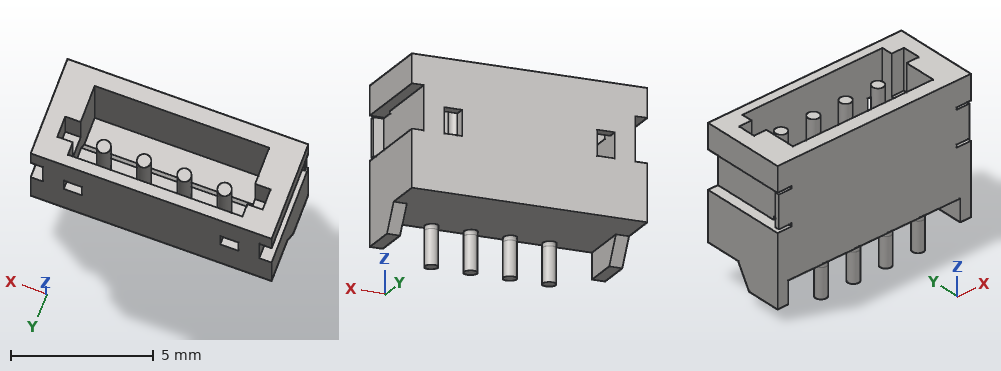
import cadquery as cq
import math

length = 9.0
depth = 3.7
height = 6.5
front = -depth / 2
back = depth / 2
half_length = length / 2

underside = 1.5
leg_bottom = 0.5
leg_width = 0.5
leg_slope_top_y = 0.25
leg_slope_bottom_y = -0.33

cavity_length = 6.52
cavity_back = 1.44
cavity_front = -1.25
rear_floor = 3.26
step_back = 0.1
step_front = -0.21
step_angle = 30.0
front_floor = rear_floor - (step_back - step_front) / math.tan(math.radians(step_angle))
keyway_span = 7.67
keyway_back = 0.95
keyway_front = 0.16
keyway_floor = height - 1.79

band_top = height - 1.12
band_bottom = height - 2.8
band_recess = 0.46
lip_thickness = 0.18
lip_inset = 0.06
slit_length = 0.67
slit_depth = 0.73
upper_slit_height = 0.1
lower_slit_height = 0.13

window_inner_x = 2.58
window_top = height - 1.83
window_bottom = band_bottom

pin_count = 4
pin_pitch = 1.5
pin_radius = 0.25
pin_top = 5.84
pin_upper_y = 0.53
pin_lower_y = front + pin_radius
bend_start = 1.35
bend_radius = 0.5


def block(x0, x1, y0, y1, z0, z1):
    """Axis-aligned box between two opposite corners."""
    return cq.Workplane("XY").box(x1 - x0, y1 - y0, z1 - z0, centered=False).translate((x0, y0, z0))


def both_ends(cutter):
    """A feature at the -X end together with its mirror image at the +X end."""
    return cutter.union(cutter.mirror("YZ"))


def extrude_side_profile(points, width):
    """Extrude a (Y, Z) outline symmetrically about X = 0."""
    return cq.Workplane("YZ").polyline(points).close().extrude(width / 2, both=True)


def make_housing():
    side_profile = [
        (front, leg_bottom),
        (leg_slope_bottom_y, leg_bottom),
        (leg_slope_top_y, underside),
        (back, underside),
        (back, height),
        (front, height),
    ]
    leg_inner_x = half_length - leg_width
    between_legs = block(-leg_inner_x, leg_inner_x, front, back, 0, underside)
    return extrude_side_profile(side_profile, length).cut(between_legs)


def make_cavity():
    cavity_profile = [
        (cavity_front, front_floor),
        (step_front, front_floor),
        (step_back, rear_floor),
        (cavity_back, rear_floor),
        (cavity_back, height),
        (cavity_front, height),
    ]
    keyways = block(-keyway_span / 2, keyway_span / 2, keyway_front, keyway_back, keyway_floor, height)
    return extrude_side_profile(cavity_profile, cavity_length).union(keyways)


def make_end_recess():
    """Band recess at the -X end, with the slits that free its front lip."""
    end = -half_length
    lip_back = front + lip_thickness
    slit_back = front + slit_depth
    recess = block(end, end + band_recess, lip_back, back, band_bottom, band_top)
    lip_trim = block(end, end + lip_inset, front, lip_back, band_bottom, band_top)
    upper_slit = block(end, end + slit_length, front, slit_back, band_top - upper_slit_height, band_top)
    lower_slit = block(end, end + slit_length, front, slit_back, band_bottom, band_bottom + lower_slit_height)
    return recess.union(lip_trim).union(upper_slit).union(lower_slit)


def make_window():
    return block(-cavity_length / 2, -window_inner_x, cavity_back, back, window_bottom, window_top)


def make_pin(x):
    """Lower tail bent back under the cavity floor, then an upright contact."""
    run_z = bend_start + bend_radius
    arc_offset = bend_radius * (1 - math.sqrt(0.5))
    path = (
        cq.Workplane("YZ", origin=(x, 0, 0))
        .moveTo(pin_lower_y, 0)
        .lineTo(pin_lower_y, bend_start)
        .threePointArc(
            (pin_lower_y + arc_offset, run_z - arc_offset),
            (pin_lower_y + bend_radius, run_z),
        )
        .lineTo(pin_upper_y, run_z)
    )
    tail = cq.Workplane("XY", origin=(x, pin_lower_y, 0)).circle(pin_radius).sweep(path)
    contact = cq.Workplane("XY", origin=(x, pin_upper_y, run_z)).circle(pin_radius).extrude(pin_top - run_z)
    return tail.union(contact)


result = make_housing().cut(make_cavity())
result = result.cut(both_ends(make_end_recess()))
result = result.cut(both_ends(make_window()))
for index in range(pin_count):
    result = result.union(make_pin((index - (pin_count - 1) / 2) * pin_pitch))